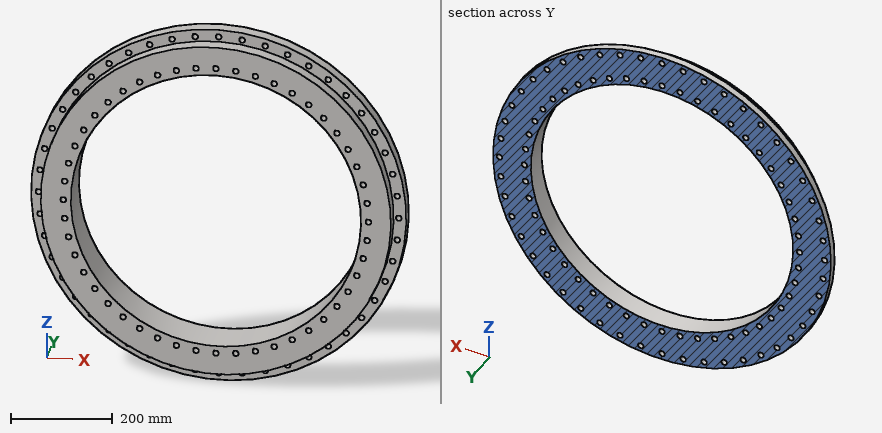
import cadquery as cq

flange_diameter = 750.0
body_diameter = 700.0
bore_diameter = 580.0
body_width = 90.0
flange_width = body_width / 3

outer_bolt_circle = 720.0
inner_bolt_circle = 610.0
bolt_count = 48
bolt_hole_diameter = 11.0


def ring_band(outer_diameter, width):
    """Plain ring about the Y axis, from the bore out, centred on the mid-plane."""
    bore_radius = bore_diameter / 2
    thickness = outer_diameter / 2 - bore_radius
    mean_radius = bore_radius + thickness / 2
    return (
        cq.Workplane("YZ")
        .center(0, mean_radius)
        .rect(width, thickness)
        .revolve(360, (0, -mean_radius), (1, -mean_radius))
    )


def bolt_holes(circle_diameter):
    """Through-hole cutters evenly spaced on a bolt circle, one lying on +X."""
    return (
        cq.Workplane("XZ", origin=(0, body_width / 2, 0))
        .polarArray(circle_diameter / 2, 0, 360, bolt_count)
        .circle(bolt_hole_diameter / 2)
        .extrude(body_width)
    )


ring = ring_band(body_diameter, body_width).union(ring_band(flange_diameter, flange_width))

for bolt_circle in (outer_bolt_circle, inner_bolt_circle):
    ring = ring.cut(bolt_holes(bolt_circle))

result = ring